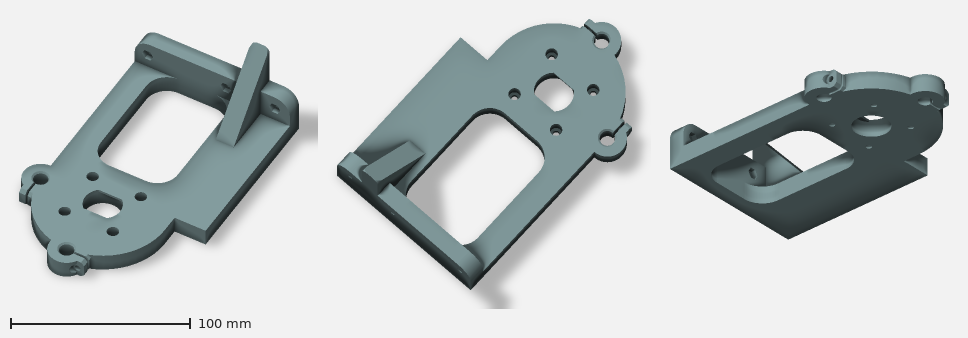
import cadquery as cq
total_length = 164.8
plate_thickness = 11.0
disc_radius = 39.9
boss_radius = 10.9
plate_left = -disc_radius
plate_right = 59.8
plate_front = boss_radius
plate_back = total_length - disc_radius - boss_radius

wall_thickness = 10.0
wall_height = 29.0
wall_corner_radius = 10.0
wall_face = plate_back - wall_thickness
wall_hole_z = 20.0
wall_hole_places = (-31.6, 18.6, 50.1)
wall_hole_radius = 1.6
nut_across_corners = 7.4
nut_depth = 3.0

gusset_left = 29.5
gusset_width = 11.5
gusset_length = 39.9
gusset_top = 55.0
gusset_corner_radius = 4.0

window_half_width = 24.7
window_front = 27.3
window_corner_radius = 13.0

motor_screw_spacing = 31.0
motor_screw_radius = 1.8
motor_head_radius = 3.5
motor_head_depth = 8.0
motor_opening_radius = 11.2
motor_opening_flat_width = 16.5
motor_lip_thickness = 1.5

rod_radius = 4.3
rod_chamfer = 1.0
slit_width = 1.5
tab_wall = 4.0
tab_reach = 14.2
tab_root_width = 3.3
tab_chamfer = 2.0
clamp_screw_reach = 10.0
clamp_screw_radius = 1.8
clamp_thread_radius = 1.3
clamp_thread_depth = 9.9
clamp_head_radius = 3.5
left_slit_offset = 1.0
front_slit_offset = 0.5


def box(x_range, y_range, z_range):
    """Return a box spanning the given (low, high) ranges."""
    size = [high - low for low, high in (x_range, y_range, z_range)]
    return cq.Workplane("XY").box(*size, centered=False).translate((x_range[0], y_range[0], z_range[0]))


def x_cylinder(radius, x_start, x_end, y, z):
    """Return a cylinder along X."""
    return cq.Workplane("YZ", origin=(x_start, y, z)).circle(radius).extrude(x_end - x_start)


def make_plate():
    plate_z = (0, plate_thickness)
    disc = cq.Workplane("XY").circle(disc_radius).extrude(plate_thickness)
    neck = box((plate_left, disc_radius), (0, plate_front), plate_z)
    panel = box((plate_left, plate_right), (plate_front, plate_back), plate_z)
    return panel.union(neck).union(disc)


def make_window():
    window = box(
        (-window_half_width, window_half_width), (window_front, wall_face), (0, plate_thickness)
    )
    return window.edges("|Z").fillet(window_corner_radius)


def make_wall():
    wall = box((plate_left, plate_right), (wall_face, plate_back), (0, wall_height))
    return wall.edges("|Y and >Z").fillet(wall_corner_radius)


def make_wall_holes():
    """Return the screw holes of the wall with hexagonal nut traps in its inner face."""
    places = [(x, wall_hole_z) for x in wall_hole_places]
    face = cq.Workplane("XZ", origin=(0, wall_face, 0)).pushPoints(places)
    holes = face.circle(wall_hole_radius).extrude(-wall_thickness)
    nuts = face.polygon(6, nut_across_corners).extrude(-nut_depth)
    return holes.union(nuts)


def make_gusset():
    triangle = (
        cq.Workplane("YZ", origin=(gusset_left, 0, 0))
        .moveTo(plate_back, plate_thickness)
        .lineTo(plate_back - gusset_length, plate_thickness)
        .lineTo(plate_back, gusset_top)
        .close()
        .extrude(gusset_width)
    )
    rounded_bar = box(
        (gusset_left, gusset_left + gusset_width),
        (plate_back - gusset_length, plate_back),
        (0, gusset_top),
    )
    rounded_bar = rounded_bar.edges("|Y and >Z").fillet(gusset_corner_radius)
    return triangle.intersect(rounded_bar)


def make_motor_cuts():
    """Return the counterbored screw holes and the central opening with its flat-sided top lip."""
    screws = cq.Workplane("XY").rect(motor_screw_spacing, motor_screw_spacing, forConstruction=True).vertices()
    shanks = screws.circle(motor_screw_radius).extrude(plate_thickness)
    heads = (
        cq.Workplane("XY", origin=(0, 0, plate_thickness - motor_head_depth))
        .rect(motor_screw_spacing, motor_screw_spacing, forConstruction=True)
        .vertices()
        .circle(motor_head_radius)
        .extrude(motor_head_depth)
    )
    recess = cq.Workplane("XY").circle(motor_opening_radius).extrude(plate_thickness - motor_lip_thickness)
    flats = cq.Workplane("XY").rect(2 * motor_opening_radius, motor_opening_flat_width).extrude(plate_thickness)
    lip_opening = cq.Workplane("XY").circle(motor_opening_radius).extrude(plate_thickness).intersect(flats)
    return shanks.union(heads).union(recess).union(lip_opening)


def make_clamp(slit_offset):
    """Return the body and the cuts of a clamp on the left of the disc, its tab pointing to -Y.

    slit_offset is how far the slit lies outward (-X) of the rod axis.
    """
    slit_x = -disc_radius - slit_offset
    slit_left = slit_x - slit_width / 2
    slit_right = slit_x + slit_width / 2
    tab_left = slit_left - tab_wall
    screw_y = -clamp_screw_reach
    mid_z = plate_thickness / 2

    rod_axis = cq.Workplane("XY").center(-disc_radius, 0)
    boss = rod_axis.circle(boss_radius).extrude(plate_thickness)
    tab = box((tab_left, slit_right + tab_root_width), (-tab_reach, 0), (0, plate_thickness))
    tab = tab.edges("|X and <Y").chamfer(tab_chamfer)

    rod_hole = rod_axis.circle(rod_radius).extrude(plate_thickness)
    rod_mouth = (
        cq.Workplane("XY", origin=(-disc_radius, 0, plate_thickness - rod_chamfer))
        .circle(rod_radius)
        .workplane(offset=rod_chamfer)
        .circle(rod_radius + rod_chamfer)
        .loft()
    )
    slit = box((slit_left, slit_right), (-tab_reach, 0), (0, plate_thickness))
    boss_left = -disc_radius - boss_radius
    head = x_cylinder(clamp_head_radius, boss_left, tab_left, screw_y, mid_z)
    shank = x_cylinder(clamp_screw_radius, tab_left, slit_x, screw_y, mid_z)
    thread = x_cylinder(clamp_thread_radius, slit_x, slit_right + clamp_thread_depth, screw_y, mid_z)

    body = boss.union(tab)
    cuts = rod_hole.union(rod_mouth).union(slit).union(head).union(shank).union(thread)
    return body, cuts


left_body, left_cuts = make_clamp(left_slit_offset)
front_body, front_cuts = [
    shape.rotate((0, 0, 0), (0, 0, 1), 90) for shape in make_clamp(front_slit_offset)
]

result = make_plate().union(left_body).union(front_body)
result = result.cut(make_window())
result = result.union(make_wall()).union(make_gusset())
result = result.cut(make_wall_holes()).cut(make_motor_cuts())
result = result.cut(left_cuts).cut(front_cuts)